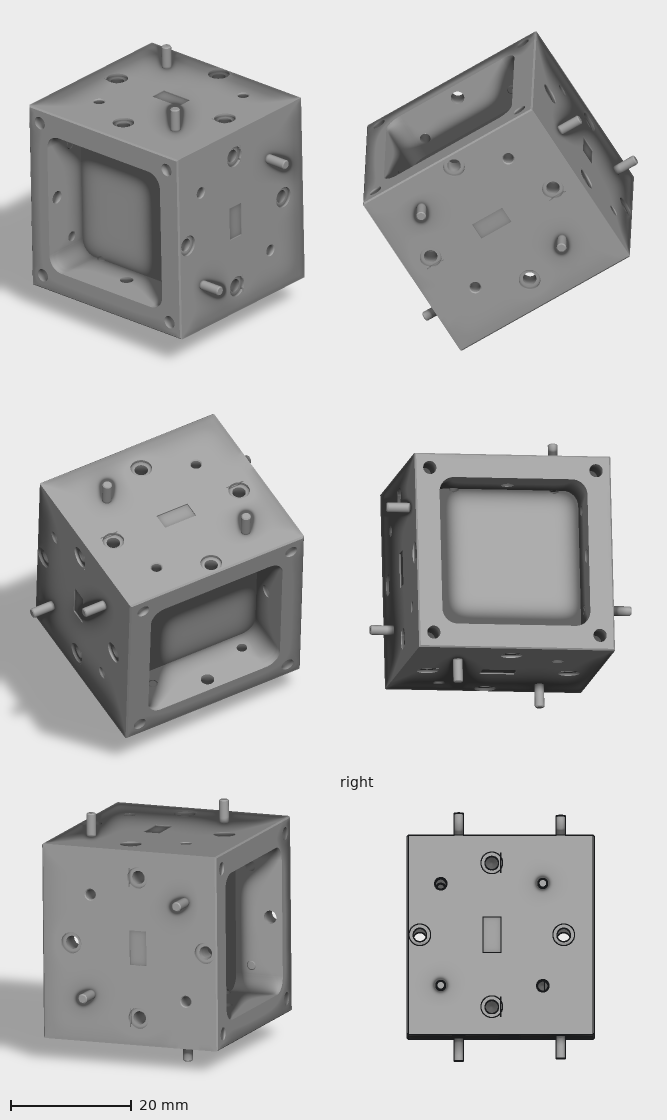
import cadquery as cq
import math


TILT = 1.4
OVERALL_HALF = 20.6

BLOCK_SIDE = 33.0
BLOCK_DEPTH = 31.1
EDGE_CHAMFER = 0.25
HALF_SIDE = BLOCK_SIDE / 2
FRONT_Y = -BLOCK_DEPTH / 2

POCKET_SIDE = 24.9
POCKET_DEPTH = 8.3
POCKET_RADIUS = 2.55
WALL = (BLOCK_SIDE - POCKET_SIDE) / 2

SCREW_DIAMETER = 2.22
SCREW_DEPTH = 4.95
CORNER_SCREW_OFFSET = 14.0
TIP_ANGLE = 118.0

WINDOW_LENGTH = 5.85
WINDOW_HEIGHT = 2.95
WINDOW_DEPTH = 0.25
PORT_SHIFT = WINDOW_HEIGHT / 2
BOLT_CIRCLE_RADIUS = 11.9
COUNTERBORE_DIAMETER = 3.6
COUNTERBORE_DEPTH = 0.5
SLIT_LENGTH = 3.2
SLIT_WIDTH = 0.15
SLIT_DEPTH = 0.6

PIN_OFFSET = 8.45
PIN_DIAMETER = 1.6
PIN_CHAMFER = 0.15
PIN_HOLE_DEPTH = WALL + 0.25
MATING_HOLE_DIAMETER = 1.75
MATING_HOLE_CHAMFER = 0.15
TILT_RADIANS = math.radians(TILT)
PIN_TIP_REACH = PIN_OFFSET + PIN_DIAMETER / 2 - PIN_CHAMFER
PIN_TIP = (OVERALL_HALF - PIN_TIP_REACH * math.sin(TILT_RADIANS)) / math.cos(TILT_RADIANS)
PIN_ROOT = HALF_SIDE - WALL

PORTS = {
    "+Z": (0, PORT_SHIFT),
    "+X": (90, -PORT_SHIFT),
    "-Z": (180, PORT_SHIFT),
    "-X": (-90, -PORT_SHIFT),
}
PIN_ENDS = (1, -1)
FIXED_PINS = (("+X", 1), ("-X", 1))


def cylinder_down(x, y, top, diameter, depth):
    return cq.Workplane("XY", origin=(x, y, top - depth)).circle(diameter / 2).extrude(depth)


def drill_down(x, y, top, diameter, depth):
    """Cylinder running down from `top`, ended by a conical drill point."""
    radius = diameter / 2
    tip = radius / math.tan(math.radians(TIP_ANGLE / 2))
    profile = [(0, 0), (radius, 0), (radius, -depth), (0, -depth - tip)]
    drill = cq.Workplane("XZ").polyline(profile).close().revolve(360, (0, 0), (0, 1))
    return drill.translate((x, y, top))


def turn_to_face(shape, face):
    return shape.rotate((0, 0, 0), (0, 1, 0), PORTS[face][0])


def tilt(shape):
    return shape.rotate((0, 0, 0), (0, 1, 0), -TILT)


def pin(face, end):
    """Round pin with chamfered ends, from the inner side of the wall out past the face."""
    x = -end * PIN_OFFSET
    y = PORTS[face][1] + end * PIN_OFFSET
    body = cylinder_down(x, y, PIN_TIP, PIN_DIAMETER, PIN_TIP - PIN_ROOT)
    return turn_to_face(body.faces("<Z or >Z").chamfer(PIN_CHAMFER), face)


def pin_bore(face, end):
    """Drilled seat of a dowel."""
    x = -end * PIN_OFFSET
    y = PORTS[face][1] + end * PIN_OFFSET
    return turn_to_face(drill_down(x, y, HALF_SIDE, PIN_DIAMETER, PIN_HOLE_DEPTH), face)


def mating_hole(face, end):
    """Countersunk empty hole beside the pin, for the pin of a mating flange."""
    x = end * PIN_OFFSET
    y = PORTS[face][1] + end * PIN_OFFSET
    hole = drill_down(x, y, HALF_SIDE, MATING_HOLE_DIAMETER, PIN_HOLE_DEPTH)
    countersink = (
        cq.Workplane("XY", origin=(x, y, HALF_SIDE))
        .circle(MATING_HOLE_DIAMETER / 2 + MATING_HOLE_CHAMFER)
        .workplane(offset=-MATING_HOLE_CHAMFER)
        .circle(MATING_HOLE_DIAMETER / 2)
        .loft()
    )
    return turn_to_face(hole.union(countersink), face)


def screw_holes(face):
    """Four counterbored holes: two blind ones along X, two along Y into the pockets."""
    shift = PORTS[face][1]
    tools = cq.Workplane("XY")
    for sign in (-1, 1):
        x = sign * BOLT_CIRCLE_RADIUS
        y = shift + sign * BOLT_CIRCLE_RADIUS
        tools = tools.union(drill_down(x, shift, HALF_SIDE, SCREW_DIAMETER, SCREW_DEPTH))
        tools = tools.union(cylinder_down(0, y, HALF_SIDE, SCREW_DIAMETER, HALF_SIDE))
        for place in ((x, shift), (0, y)):
            tools = tools.union(
                cylinder_down(*place, HALF_SIDE, COUNTERBORE_DIAMETER, COUNTERBORE_DEPTH)
            )
    return turn_to_face(tools, face)


def window(face):
    """Shallow rectangular waveguide window with a fine slit by each blind screw hole."""
    surface = cq.Workplane("XY", origin=(0, 0, HALF_SIDE))
    recess = surface.center(0, PORTS[face][1]).rect(WINDOW_LENGTH, WINDOW_HEIGHT).extrude(-WINDOW_DEPTH)
    slits = (
        surface.pushPoints([(-BOLT_CIRCLE_RADIUS, 0), (BOLT_CIRCLE_RADIUS, 0)])
        .rect(SLIT_LENGTH, SLIT_WIDTH)
        .extrude(-SLIT_DEPTH)
    )
    return turn_to_face(recess.union(slits), face)


def front_pocket():
    """Square pocket with rounded corners, open to -Y."""
    pocket = cq.Workplane("XZ", origin=(0, FRONT_Y, 0)).rect(POCKET_SIDE, POCKET_SIDE).extrude(-POCKET_DEPTH)
    return pocket.edges("|Y").fillet(POCKET_RADIUS)


def corner_screw_holes():
    """Blind holes in the front rim; drilled along Z, then laid over to point along +Y."""
    tools = cq.Workplane("XY")
    for x in (-CORNER_SCREW_OFFSET, CORNER_SCREW_OFFSET):
        for y in (-CORNER_SCREW_OFFSET, CORNER_SCREW_OFFSET):
            tools = tools.union(drill_down(x, y, -FRONT_Y, SCREW_DIAMETER, SCREW_DEPTH))
    return tools.rotate((0, 0, 0), (1, 0, 0), 90)


def make_housing():
    block = cq.Workplane("XY").box(BLOCK_SIDE, BLOCK_DEPTH, BLOCK_SIDE)
    block = block.faces("<Y or >Y").edges().chamfer(EDGE_CHAMFER)
    for end_tool in (front_pocket(), corner_screw_holes()):
        block = block.cut(end_tool).cut(end_tool.mirror("XZ"))
    for face in PORTS:
        block = block.cut(window(face)).cut(screw_holes(face))
        for end in PIN_ENDS:
            block = block.cut(mating_hole(face, end))
            if (face, end) not in FIXED_PINS:
                block = block.cut(pin_bore(face, end))
    for face, end in FIXED_PINS:
        block = block.union(pin(face, end))
    return tilt(block).solids()


def make_dowel(face, end):
    return tilt(pin(face, end)).solids()


housing = make_housing()
dowels = [
    make_dowel(face, end)
    for face in PORTS
    for end in PIN_ENDS
    if (face, end) not in FIXED_PINS
]

result = cq.Compound.makeCompound([housing.val(), *[dowel.val() for dowel in dowels]])